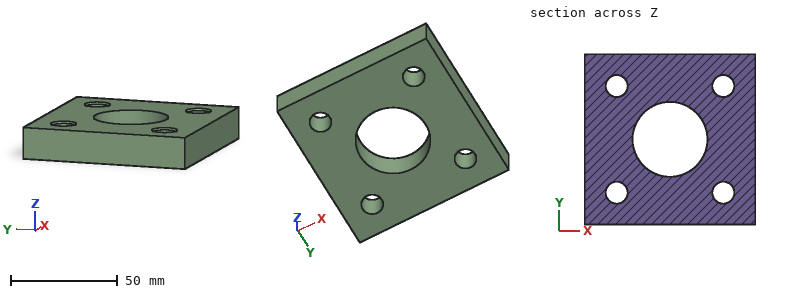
import cadquery as cq

side = 80.0
thickness = 15.0

bore_diameter = 35.0

hole_spacing = 50.0
hole_diameter = 10.2
countersink_diameter = 12.0
countersink_angle = 90.0

plate = cq.Workplane("XY").box(side, side, thickness)

bored_plate = plate.faces(">Z").workplane().hole(bore_diameter)

result = (
    bored_plate.faces(">Z")
    .workplane(origin=(0, 0, 0))
    .rect(hole_spacing, hole_spacing, forConstruction=True)
    .vertices()
    .cskHole(hole_diameter, countersink_diameter, countersink_angle)
)